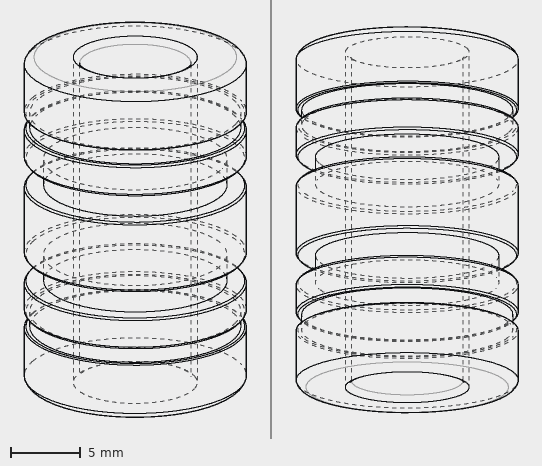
import cadquery as cq

outer_radius = 8.0
bore_radius = 4.0
length = 24.87
half_length = length / 2

rim_width = 0.71
rim_height = 0.51
rim_arc_radius = (rim_width**2 + rim_height**2) / (2 * rim_height)

liner_wall = 0.46
liner_radius = bore_radius + liner_wall
lip_height = 0.46
lip_arc_radius = 0.62

ring_groove_radius = 7.6
ring_groove_bottom = 7.02
ring_groove_top = 8.16
ring_groove_top_chamfer_height = 0.08
seal_groove_radius = 6.6
seal_groove_bottom = 2.65
seal_groove_top = 4.67
edge_chamfer_height = 0.16
chamfer_depth = 0.13


def make_blank():
    """Solid of revolution with both rims rounded and a bore that takes the liner."""
    face_radius = outer_radius - rim_width
    shoulder = half_length - rim_height
    return (
        cq.Workplane("XZ")
        .moveTo(liner_radius, -half_length)
        .lineTo(face_radius, -half_length)
        .radiusArc((outer_radius, -shoulder), -rim_arc_radius)
        .lineTo(outer_radius, shoulder)
        .radiusArc((face_radius, half_length), -rim_arc_radius)
        .lineTo(liner_radius, half_length)
        .close()
        .revolve(360, (0, 0, 0), (0, 1, 0))
    )


def make_groove(floor_radius, bottom, top, bottom_chamfer, top_chamfer):
    """Ring that cuts one groove between two heights and chamfers both of its edges."""
    chamfer_radius = outer_radius - chamfer_depth
    return (
        cq.Workplane("XZ")
        .moveTo(floor_radius, bottom)
        .lineTo(chamfer_radius, bottom)
        .lineTo(outer_radius, bottom - bottom_chamfer)
        .lineTo(outer_radius + chamfer_depth, bottom - bottom_chamfer)
        .lineTo(outer_radius + chamfer_depth, top + top_chamfer)
        .lineTo(outer_radius, top + top_chamfer)
        .lineTo(chamfer_radius, top)
        .lineTo(floor_radius, top)
        .close()
        .revolve(360, (0, 0, 0), (0, 1, 0))
    )


def make_housing():
    """Outer bushing with two narrow and two deep grooves."""
    ring_groove = make_groove(
        ring_groove_radius,
        ring_groove_bottom,
        ring_groove_top,
        edge_chamfer_height,
        ring_groove_top_chamfer_height,
    )
    seal_groove = make_groove(
        seal_groove_radius,
        seal_groove_bottom,
        seal_groove_top,
        edge_chamfer_height,
        edge_chamfer_height,
    )
    body = make_blank()
    for groove in (ring_groove, seal_groove):
        body = body.cut(groove).cut(groove.mirror("XY"))
    return body


def make_liner():
    """Full-length sleeve inside the housing, with a rounded mouth at each end."""
    bore_end = half_length - lip_height
    return (
        cq.Workplane("XZ")
        .moveTo(liner_radius, -half_length)
        .lineTo(liner_radius, half_length)
        .radiusArc((bore_radius, bore_end), -lip_arc_radius)
        .lineTo(bore_radius, -bore_end)
        .radiusArc((liner_radius, -half_length), -lip_arc_radius)
        .close()
        .revolve(360, (0, 0, 0), (0, 1, 0))
    )


housing = make_housing()
liner = make_liner()

result = cq.Compound.makeCompound([housing.val(), liner.val()])